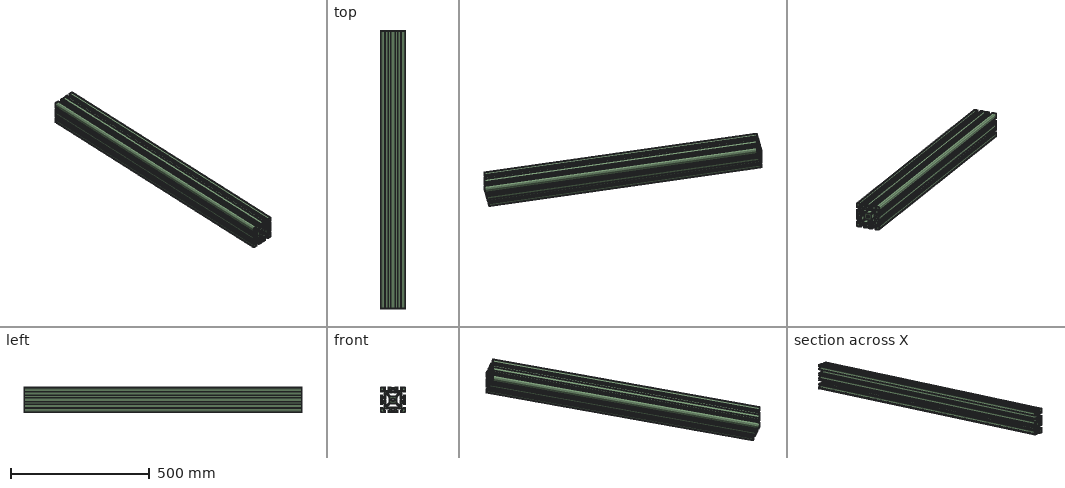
import cadquery as cq
import math

side = 90.0
length = 1000.0
half = side / 2
corner_radius = 5.0

slot_offset = 22.6
slot_opening = 12.0
lip_thickness = 6.0
slot_floor = 32.0
undercut_inner = 11.9
undercut_outer = slot_floor
neck_width = 3.5

wall_inner = 26.0
core_half = 13.3
web_width = 4.0
bore_diameter = 10.0
rib_bore_height = 34.5

groove_width = 15.2
groove_depth = 1.0

relief_base = 9.0
relief_top = 4.0
relief_depth = 1.5


def prism(points):
    """Extrude an XZ outline along the full length."""
    return cq.Workplane("XZ").polyline(points).close().extrude(length / 2, both=True)


def bore(height):
    """Round hole along the full length, centred at X = 0."""
    outline = cq.Workplane("XZ").center(0, height).circle(bore_diameter / 2)
    return outline.extrude(length / 2, both=True)


def mirrored(points):
    """Mirror an XZ outline about X = 0, keeping the outline's direction of travel."""
    return [(-x, z) for x, z in reversed(points)]


def t_slot():
    """Outline of the slot in the top face on the +X side."""
    opening_inner = slot_offset - slot_opening / 2
    opening_outer = slot_offset + slot_opening / 2
    lip = half - lip_thickness
    neck = neck_width / math.sqrt(2)
    return [
        (opening_inner, half),
        (opening_outer, half),
        (opening_outer, lip),
        (undercut_outer, lip),
        (undercut_outer, undercut_outer + neck),
        (slot_floor - neck, slot_floor),
        (undercut_inner, slot_floor),
        (undercut_inner, lip),
        (opening_inner, lip),
    ]


def chamber():
    """Outline of the hollow between the top wall, the core and two diagonal webs."""
    web = web_width / math.sqrt(2)
    right = [
        (relief_top / 2, wall_inner + relief_depth),
        (relief_base / 2, wall_inner),
        (wall_inner - web, wall_inner),
        (core_half - web, core_half),
    ]
    return right + mirrored(right)


def face_cuts():
    """Everything removed from the top quarter of the section."""
    groove = cq.Workplane("XY").box(groove_width, length, 2 * groove_depth).translate((0, 0, half))
    cuts = groove.union(bore(rib_bore_height)).union(prism(chamber()))
    return cuts.union(prism(t_slot())).union(prism(mirrored(t_slot())))


bar = cq.Workplane("XY").box(side, length, side).edges("|Y").fillet(corner_radius)
cuts = face_cuts()
for turn in range(4):
    bar = bar.cut(cuts.rotate((0, 0, 0), (0, 1, 0), 90 * turn))
result = bar.cut(bore(0))